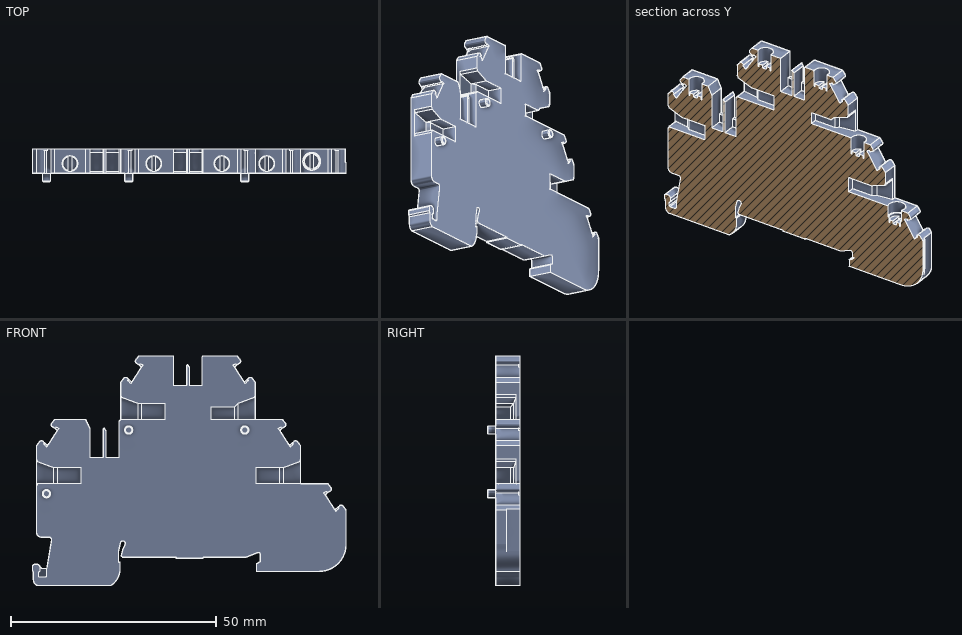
import cadquery as cq

LENGTH = 76.5
THICKNESS = 6.0
HEIGHT = 56.0
WEB = 0.45
OPEN_DEPTH = THICKNESS - WEB

TOP_LEVEL = HEIGHT
MIDDLE_LEVEL = 40.55
LOW_LEVEL = 24.9

LEFT_WALL = 1.0
TOP_LEFT = 21.5
TOP_RIGHT = 54.4
MIDDLE_LEFT = 21.1
MIDDLE_RIGHT = 65.4
RIGHT_WALL = LENGTH
SHELF_BEVEL = 0.45

TOP_SLOT_LEFT = 34.4
TOP_SLOT_RIGHT = 41.3
TOP_SLOT_FLOOR = 48.8
LOW_SLOT_LEFT = 14.1
LOW_SLOT_RIGHT = MIDDLE_LEFT
LOW_SLOT_FLOOR = 31.3
POCKET_FRONT = 0.45
POCKET_BACK = 5.1
POCKET_DEPTH = 2.3
BLADE_OFFSET = 3.2
BLADE_WIDTH = 0.7
TOP_BLADE_RISE = 5.1
LOW_BLADE_RISE = 7.2
BLADE_TIP_OFFSET = 0.2
BLADE_LEFT_BEVEL = 0.3
BLADE_RIGHT_BEVEL = 0.8
LOW_SLOT_BEVEL_X = 1.1
LOW_SLOT_BEVEL_Z = 2.2
SLOT_EDGE = 0.3

FOOT_SHOULDER = 11.8
FOOT_RIGHT = 21.4
FOOT_NECK = 21.0
FOOT_LEDGE = 5.7
FOOT_TOE = 0.2
TOE_GAP_LEFT = (1.9, 4.6)
TOE_GAP_FLOOR = (2.3, 4.2)
TOE_GAP_RIGHT = (3.5, 4.2)
TOE_POCKET_FLOOR = 2.1
END_HOOK_RIGHT = 55.55
END_HOOK_LEFT = 54.6
SEAT = 6.9
SEAT_PAD_LEFT = 35.0
SEAT_PAD_RIGHT = 41.6
SEAT_PAD = SEAT - 0.2
END_BOTTOM = 3.45
END_ROUND = 6.65
END_STEP = 0.2
END_STEP_Y = 2.7

LIP_REACH = 4.4
NOTCH_DROP = 6.4
LIP_HEEL = (4.6, 2.2)
NOTCH_TOP = (5.05, 2.75)
NOTCH_BOTTOM = (2.75, 6.35)

FUNNEL_MOUTH_DEPTH = 5.0
FUNNEL_END_DEPTH = 4.35
CHAMBER_DEPTH = 3.6
FUNNEL_LENGTH = 4.2
RAMP_LENGTH = 0.9
CHAMBER_LENGTH = 5.7
FUNNEL_RISE = 5.35
MOUTH_BEVEL_X = 0.3
MOUTH_BEVEL_Z = 0.7
CHAMBER_RISE = 3.9
LOW_CHAMBER_RISE = 3.0

SCREW_HOLE = 3.8
END_COUNTERBORE = 4.35
END_COUNTERBORE_DEPTH = 3.05
SCREW_HEAD = 3.5
SCREW_SLOT = 0.9
SCREW_SLOT_DEPTH = 0.8
SCREW_HOLE_DEPTH = 4.6
SCREW_Y = 2.4
END_SCREW_X = 68.1
END_SCREW_Y = 2.9
SCREW_PLACES = [(9.2, MIDDLE_LEVEL), (29.6, TOP_LEVEL), (46.2, TOP_LEVEL), (57.15, MIDDLE_LEVEL)]

PIN_DIAMETER = 2.0
PIN_LENGTH = 2.1
PIN_BEVEL = 0.2
PIN_CENTRES = [(3.45, 22.4), (23.5, 37.95), (51.8, 37.95)]


def front_plane():
    """XZ plane of the front face, at Y = 0; negative extrusions go toward the back."""
    return cq.Workplane("XZ")


def plate(points, depth=THICKNESS):
    """Prism of an XZ polygon, from the front face to the given depth."""
    return front_plane().polyline(points).close().extrude(-depth)


def block(x0, x1, y0, y1, z0, z1):
    return cq.Workplane("XY").box(x1 - x0, y1 - y0, z1 - z0, centered=False).translate((x0, y0, z0))


def body():
    """Stepped plate with the rail foot, rail seat and rounded end block."""
    arc_mid = END_ROUND * (1 - 0.5 ** 0.5)
    profile = (
        front_plane()
        .moveTo(LEFT_WALL, MIDDLE_LEVEL)
        .lineTo(LEFT_WALL, 13.2)
        .threePointArc((1.3, 12.25), (2.15, FOOT_SHOULDER))
        .lineTo(4.05, FOOT_SHOULDER)
        .threePointArc((4.6, 11.55), (4.7, 11.2))
        .lineTo(4.4, 9.8)
        .lineTo(*TOE_GAP_RIGHT)
        .lineTo(*TOE_GAP_FLOOR)
        .lineTo(*TOE_GAP_LEFT)
        .threePointArc((1.0, 5.3), (0.0, 4.8))
        .lineTo(0.0, 3.75)
        .lineTo(FOOT_TOE, 3.3)
        .lineTo(FOOT_TOE, 1.45)
        .threePointArc((0.5, 0.5), (1.3, 0.0))
        .lineTo(19.1, 0.0)
        .threePointArc((20.8, 1.75), (FOOT_RIGHT, 4.0))
        .lineTo(FOOT_RIGHT, FOOT_LEDGE)
        .lineTo(FOOT_NECK, FOOT_LEDGE)
        .lineTo(FOOT_NECK, 8.4)
        .lineTo(21.5, 10.4)
        .threePointArc((22.2, 10.9), (22.65, 10.2))
        .lineTo(22.0, 8.8)
        .lineTo(21.65, 7.3)
        .lineTo(22.0, SEAT)
        .lineTo(SEAT_PAD_LEFT, SEAT)
        .lineTo(SEAT_PAD_LEFT, SEAT_PAD)
        .lineTo(SEAT_PAD_RIGHT, SEAT_PAD)
        .lineTo(SEAT_PAD_RIGHT, SEAT)
        .lineTo(52.0, SEAT)
        .lineTo(54.9, 8.0)
        .threePointArc((55.4, 7.95), (END_HOOK_RIGHT, 7.6))
        .lineTo(END_HOOK_RIGHT, 5.9)
        .lineTo(END_HOOK_LEFT, 5.35)
        .lineTo(END_HOOK_LEFT, END_BOTTOM)
        .lineTo(RIGHT_WALL - END_ROUND, END_BOTTOM)
        .threePointArc((RIGHT_WALL - arc_mid, END_BOTTOM + arc_mid), (RIGHT_WALL, END_BOTTOM + END_ROUND))
        .lineTo(RIGHT_WALL, LOW_LEVEL)
        .lineTo(MIDDLE_RIGHT, LOW_LEVEL)
        .lineTo(MIDDLE_RIGHT, MIDDLE_LEVEL)
        .lineTo(TOP_RIGHT, MIDDLE_LEVEL)
        .lineTo(TOP_RIGHT, TOP_LEVEL)
        .lineTo(TOP_SLOT_RIGHT + SLOT_EDGE, TOP_LEVEL)
        .lineTo(TOP_SLOT_RIGHT, TOP_LEVEL - SLOT_EDGE)
        .lineTo(TOP_SLOT_RIGHT, TOP_SLOT_FLOOR)
        .lineTo(TOP_SLOT_LEFT, TOP_SLOT_FLOOR)
        .lineTo(TOP_SLOT_LEFT, TOP_LEVEL)
        .lineTo(TOP_LEFT, TOP_LEVEL)
        .lineTo(TOP_LEFT, MIDDLE_LEVEL)
        .lineTo(MIDDLE_LEFT + SHELF_BEVEL, MIDDLE_LEVEL)
        .lineTo(MIDDLE_LEFT, MIDDLE_LEVEL - SHELF_BEVEL)
        .lineTo(MIDDLE_LEFT, LOW_SLOT_FLOOR)
        .lineTo(LOW_SLOT_LEFT, LOW_SLOT_FLOOR)
        .lineTo(LOW_SLOT_LEFT, MIDDLE_LEVEL - LOW_SLOT_BEVEL_Z)
        .lineTo(LOW_SLOT_LEFT - LOW_SLOT_BEVEL_X, MIDDLE_LEVEL)
        .close()
    )
    return profile.extrude(-THICKNESS)


def toe_pocket():
    """Undercut inside the hooked toe, closed at the back by the web."""
    return plate(
        [
            TOE_GAP_RIGHT, (3.45, 2.3), (3.2, TOE_POCKET_FLOOR), (1.7, TOE_POCKET_FLOOR),
            (1.45, 2.3), (1.45, 3.1), (1.9, 3.7), TOE_GAP_LEFT, TOE_GAP_FLOOR,
        ],
        OPEN_DEPTH,
    )


def corner_notch(wall, level, inward):
    """Marker-holder notch at a terminal corner; inward is +1 on left corners, -1 on right ones."""
    def at(across, down):
        return (wall + inward * across, level - down)

    margin = 0.8
    notch = (
        front_plane()
        .moveTo(*at(-margin, -margin))
        .lineTo(*at(LIP_REACH, -margin))
        .lineTo(*at(LIP_REACH, 0.0))
        .lineTo(*at(3.7, 1.0))
        .threePointArc(at(3.6, 1.45), at(3.9, 1.8))
        .lineTo(*at(*LIP_HEEL))
        .lineTo(*at(*NOTCH_TOP))
        .lineTo(*at(*NOTCH_BOTTOM))
        .lineTo(*at(1.7, 5.4))
        .threePointArc(at(1.2, 5.2), at(0.8, 5.4))
        .lineTo(*at(0.0, NOTCH_DROP))
        .lineTo(*at(-margin, NOTCH_DROP))
        .close()
        .extrude(-THICKNESS)
    )
    upper_undercut = plate([at(*LIP_HEEL), at(4.8, 1.9), at(5.5, 2.2), at(*NOTCH_TOP)], OPEN_DEPTH)
    lower_undercut = plate([at(2.0, 5.65), at(1.75, 6.0), at(2.5, 6.7), at(*NOTCH_BOTTOM)], OPEN_DEPTH)
    return notch.union(upper_undercut).union(lower_undercut)


def wire_entry(wall, floor, inward, chamber_rise):
    """Front recess whose depth and height shrink from the outer wall inward."""
    def x(across):
        return wall + inward * across

    ramp_start = FUNNEL_LENGTH
    chamber_start = ramp_start + RAMP_LENGTH
    chamber_end = chamber_start + CHAMBER_LENGTH
    plan = (
        cq.Workplane("XY", origin=(0, 0, floor))
        .polyline([
            (x(0), 0), (x(0), FUNNEL_MOUTH_DEPTH), (x(ramp_start), FUNNEL_END_DEPTH),
            (x(chamber_start), CHAMBER_DEPTH), (x(chamber_end), CHAMBER_DEPTH), (x(chamber_end), 0),
        ])
        .close()
        .extrude(FUNNEL_RISE + MOUTH_BEVEL_Z)
    )
    elevation = plate([
        (x(0), floor), (x(0), floor + FUNNEL_RISE + MOUTH_BEVEL_Z),
        (x(MOUTH_BEVEL_X), floor + FUNNEL_RISE), (x(ramp_start), floor + CHAMBER_RISE),
        (x(chamber_start), floor + chamber_rise), (x(chamber_end), floor + chamber_rise),
        (x(chamber_end), floor),
    ])
    return plan.intersect(elevation)


def slot_pocket(left, right, floor):
    return block(left, right, POCKET_FRONT, POCKET_BACK, floor - POCKET_DEPTH, floor)


def blade(slot_left, floor, rise):
    """Contact blade with a bevelled tip, rising from the slot pocket."""
    left = slot_left + BLADE_OFFSET
    right = left + BLADE_WIDTH
    tip = floor + rise
    base = floor - POCKET_DEPTH
    return plate([
        (left, base), (left, tip - BLADE_LEFT_BEVEL), (left + BLADE_TIP_OFFSET, tip),
        (right, tip - BLADE_RIGHT_BEVEL), (right, base),
    ])


def screw_hole(x, y, level):
    """Blind hole that keeps a slotted screw head standing on its floor."""
    floor = level - SCREW_HOLE_DEPTH
    hole = cq.Workplane("XY", origin=(x, y, floor)).circle(SCREW_HOLE / 2).extrude(SCREW_HOLE_DEPTH)
    head = cq.Workplane("XY", origin=(x, y, floor)).circle(SCREW_HEAD / 2).extrude(SCREW_SLOT_DEPTH)
    slot = block(x - SCREW_SLOT / 2, x + SCREW_SLOT / 2, y - SCREW_HOLE, y + SCREW_HOLE,
                 floor, floor + SCREW_SLOT_DEPTH)
    return hole.cut(head.cut(slot))


def pin(x, z):
    post = front_plane().center(x, z).circle(PIN_DIAMETER / 2).extrude(PIN_LENGTH)
    return post.faces("<Y").chamfer(PIN_BEVEL)


result = body().cut(toe_pocket())

for wall, level, inward in [
    (LEFT_WALL, MIDDLE_LEVEL, 1),
    (TOP_LEFT, TOP_LEVEL, 1),
    (TOP_RIGHT, TOP_LEVEL, -1),
    (MIDDLE_RIGHT, MIDDLE_LEVEL, -1),
    (RIGHT_WALL, LOW_LEVEL, -1),
]:
    result = result.cut(corner_notch(wall, level, inward))

for wall, floor, inward, rise in [
    (LEFT_WALL, LOW_LEVEL, 1, CHAMBER_RISE),
    (TOP_LEFT, MIDDLE_LEVEL, 1, CHAMBER_RISE),
    (TOP_RIGHT, MIDDLE_LEVEL, -1, LOW_CHAMBER_RISE),
    (MIDDLE_RIGHT, LOW_LEVEL, -1, CHAMBER_RISE),
]:
    result = result.cut(wire_entry(wall, floor, inward, rise))

shelf_edge = plate(
    [
        (LEFT_WALL, LOW_LEVEL),
        (LEFT_WALL + MOUTH_BEVEL_X, LOW_LEVEL),
        (LEFT_WALL, LOW_LEVEL - MOUTH_BEVEL_Z),
    ],
    FUNNEL_MOUTH_DEPTH,
)
result = result.cut(shelf_edge)

for left, right, floor, blade_rise in [
    (LOW_SLOT_LEFT, LOW_SLOT_RIGHT, LOW_SLOT_FLOOR, LOW_BLADE_RISE),
    (TOP_SLOT_LEFT, TOP_SLOT_RIGHT, TOP_SLOT_FLOOR, TOP_BLADE_RISE),
]:
    result = result.cut(slot_pocket(left, right, floor)).union(blade(left, floor, blade_rise))

for x, level in SCREW_PLACES:
    result = result.cut(screw_hole(x, SCREW_Y, level))

counterbore = (
    cq.Workplane("XY", origin=(END_SCREW_X, END_SCREW_Y, LOW_LEVEL))
    .circle(END_COUNTERBORE / 2)
    .extrude(-END_COUNTERBORE_DEPTH)
)
result = result.cut(screw_hole(END_SCREW_X, END_SCREW_Y, LOW_LEVEL)).cut(counterbore)

result = result.cut(block(RIGHT_WALL - END_STEP, RIGHT_WALL, END_STEP_Y, THICKNESS, END_BOTTOM, LOW_LEVEL))

for x, z in PIN_CENTRES:
    result = result.union(pin(x, z))